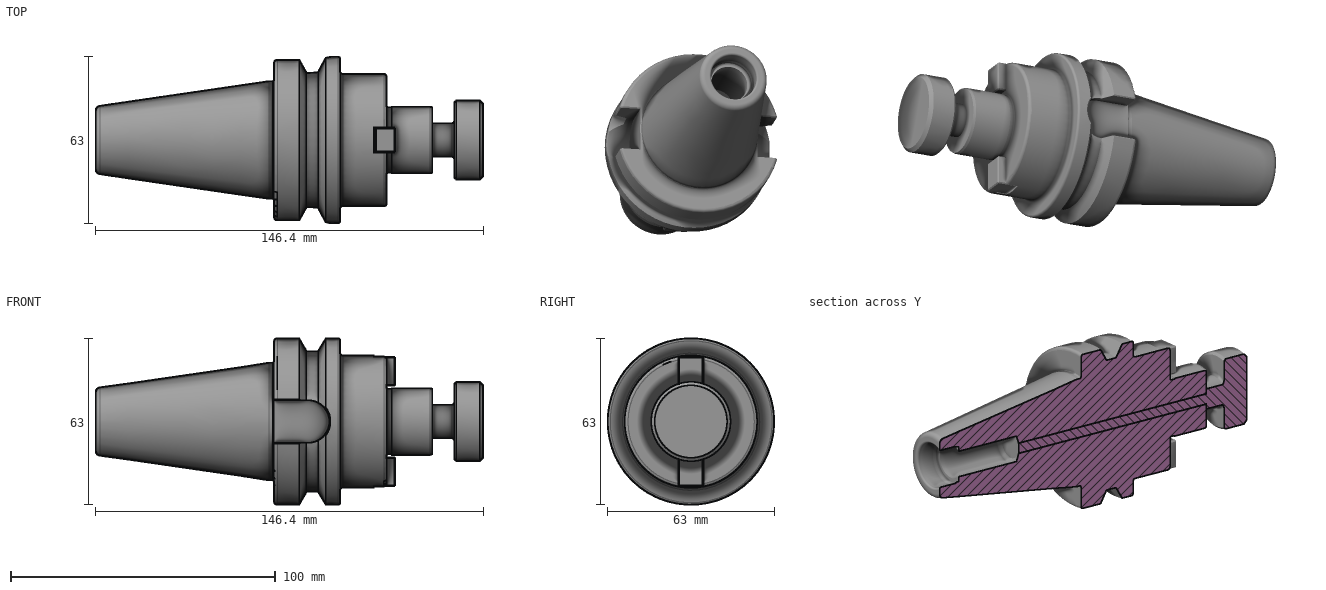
import cadquery as cq
import math


GAUGE_DIAMETER = 44.5
GAUGE_X = 65.5
TAPER_RATIO = 7 / 24
TAPER_END_ROUND = 1.9
SHANK_ROOT_ROUND = 0.5

FLANGE_DIAMETER = 63
FLANGE_START_X = 67.3
FLANGE_END_X = 92.4
FLANGE_START_ROUND = 1.2
FLANGE_END_ROUND = 0.9
GROOVE_DIAMETER = 53.3
GROOVE_START_X = 76.9
GROOVE_FLOOR_START_X = 79.6
GROOVE_FLOOR_END_X = 84.0
GROOVE_END_X = 87.0

KEYWAY_WIDTH = 16.1
KEYWAY_FLOOR = 22.5
KEYWAY_END_X = 88.3
KEYWAY_CHAMFER = 0.5

BARREL_DIAMETER = 50.0
BARREL_END_X = 110.0
BARREL_ROOT_ROUND = 0.9
BARREL_END_ROUND = 1.2
UNDERCUT_DIAMETER = 24.9
UNDERCUT_END_X = 111.8
UNDERCUT_ROUND = 0.5
SPIGOT_DIAMETER = 25.3
SPIGOT_END_X = 127.2
SPIGOT_CHAMFER_LENGTH = 1.0
SPIGOT_CHAMFER_DEPTH = 0.3

MOUTH_DIAMETER = 17.5
MOUTH_ROUND = 0.7
MOUTH_DEPTH = 7.3
MOUTH_TAPER_LENGTH = 1.2
COUNTERBORE_DIAMETER = 17.0
COUNTERBORE_DEPTH = 9.2
DRAWBAR_HOLE_DIAMETER = 13.9
DRAWBAR_HOLE_DEPTH = 36.6
BORE_CONE_HALF_ANGLE = 60
STUD_DIAMETER = 10.4

DOG_WIDTH = 9.5
DOG_SLOT_START_X = 105.1
DOG_START_X = 105.5
DOG_END_X = 113.2
DOG_INNER = 13.5
DOG_OUTER = 24.5
DOG_CHAMFER = 0.5

SCREW_NECK_DIAMETER = 12.7
HEAD_DIAMETER = 30.0
HEAD_START_X = 135.4
HEAD_END_X = 146.4
HEAD_START_CHAMFER = 0.9
HEAD_END_CHAMFER = 1.3
HEAD_ROOT_ROUND = 0.9

TOLERANCE = 0.01

BORE_CONE_DEPTH = (DRAWBAR_HOLE_DIAMETER - STUD_DIAMETER) / 2
BORE_CONE_LENGTH = BORE_CONE_DEPTH / math.tan(math.radians(BORE_CONE_HALF_ANGLE))
STUD_TIP_X = DRAWBAR_HOLE_DEPTH + BORE_CONE_LENGTH


def revolve_about_x(profile):
    """Turn a closed XY profile into a solid of revolution about the X axis."""
    return profile.close().revolve(360, (0, 0, 0), (1, 0, 0))


def shank():
    """Taper with its rounded small end and the short cylinder up to the flange."""
    gauge_radius = GAUGE_DIAMETER / 2
    small_radius = gauge_radius - GAUGE_X * TAPER_RATIO / 2
    profile = (
        cq.Workplane("XY")
        .lineTo(0, small_radius)
        .lineTo(GAUGE_X, gauge_radius)
        .lineTo(FLANGE_START_X, gauge_radius)
        .lineTo(FLANGE_START_X, 0)
    )
    return revolve_about_x(profile).faces("<X").edges().fillet(TAPER_END_ROUND)


def flange():
    """Flange with rounded rims and the trapezoidal gripper groove."""
    radius = FLANGE_DIAMETER / 2
    groove_radius = GROOVE_DIAMETER / 2
    profile = (
        cq.Workplane("XY")
        .moveTo(FLANGE_START_X, 0)
        .lineTo(FLANGE_START_X, radius)
        .lineTo(GROOVE_START_X, radius)
        .lineTo(GROOVE_FLOOR_START_X, groove_radius)
        .lineTo(GROOVE_FLOOR_END_X, groove_radius)
        .lineTo(GROOVE_END_X, radius)
        .lineTo(FLANGE_END_X, radius)
        .lineTo(FLANGE_END_X, 0)
    )
    body = revolve_about_x(profile)
    body = body.faces("<X").edges().fillet(FLANGE_START_ROUND)
    return body.faces(">X").edges().fillet(FLANGE_END_ROUND)


def root_round(x, radius, size, direction):
    """Concave ring where a cylinder meets a shoulder at x; direction is the way the cylinder runs."""
    profile = (
        cq.Workplane("XY")
        .moveTo(x, radius)
        .lineTo(x, radius + size)
        .radiusArc((x + direction * size, radius), direction * -size)
    )
    return revolve_about_x(profile)


def cylinder_along_x(start, end, diameter):
    return cq.Workplane("YZ", origin=(start, 0, 0)).circle(diameter / 2).extrude(end - start)


def barrel():
    """Barrel with a rounded end rim."""
    body = cylinder_along_x(FLANGE_END_X, BARREL_END_X, BARREL_DIAMETER)
    return body.faces(">X").edges().fillet(BARREL_END_ROUND)


def spigot():
    """Spigot with a shallow undercut at its root and a slim lead-in chamfer."""
    undercut_radius = UNDERCUT_DIAMETER / 2
    radius = SPIGOT_DIAMETER / 2
    profile = (
        cq.Workplane("XY")
        .moveTo(BARREL_END_X, 0)
        .lineTo(BARREL_END_X, undercut_radius)
        .lineTo(UNDERCUT_END_X, undercut_radius)
        .lineTo(UNDERCUT_END_X, radius)
        .lineTo(SPIGOT_END_X - SPIGOT_CHAMFER_LENGTH, radius)
        .lineTo(SPIGOT_END_X, radius - SPIGOT_CHAMFER_DEPTH)
        .lineTo(SPIGOT_END_X, 0)
    )
    return revolve_about_x(profile)


def bore():
    """Stepped hole along the whole axis: rounded mouth, drawbar hole, cone and screw hole."""
    mouth_radius = MOUTH_DIAMETER / 2
    counterbore_radius = COUNTERBORE_DIAMETER / 2
    hole_radius = DRAWBAR_HOLE_DIAMETER / 2
    stud_radius = STUD_DIAMETER / 2
    profile = (
        cq.Workplane("XY")
        .lineTo(0, mouth_radius + MOUTH_ROUND)
        .radiusArc((MOUTH_ROUND, mouth_radius), -MOUTH_ROUND)
        .lineTo(MOUTH_DEPTH, mouth_radius)
        .lineTo(MOUTH_DEPTH + MOUTH_TAPER_LENGTH, counterbore_radius)
        .lineTo(COUNTERBORE_DEPTH, counterbore_radius)
        .lineTo(COUNTERBORE_DEPTH, hole_radius)
        .lineTo(DRAWBAR_HOLE_DEPTH, hole_radius)
        .lineTo(STUD_TIP_X, stud_radius)
        .lineTo(SPIGOT_END_X, stud_radius)
        .lineTo(SPIGOT_END_X, 0)
    )
    return revolve_about_x(profile)


def keyway(side):
    """Cutter for the round-ended keyway on the side +Y (1) or -Y (-1)."""
    half_width = KEYWAY_WIDTH / 2
    arc_start_x = KEYWAY_END_X - half_width
    outline = (
        cq.Workplane("XZ", origin=(0, side * KEYWAY_FLOOR, 0))
        .moveTo(FLANGE_START_X, half_width)
        .lineTo(arc_start_x, half_width)
        .threePointArc((KEYWAY_END_X, 0), (arc_start_x, -half_width))
        .lineTo(FLANGE_START_X, -half_width)
        .close()
    )
    return outline.extrude(-side * FLANGE_DIAMETER / 2)


def is_keyway_rim(edge):
    """True for the keyway edges on the flange's starting face, its start rim and its two lands."""
    box = edge.BoundingBox()
    reach = max(box.ymax, -box.ymin)
    if max(box.zmax, -box.zmin) > KEYWAY_WIDTH / 2 + TOLERANCE:
        return False
    on_side_wall = box.zmax - box.zmin < TOLERANCE and abs(box.zmax) > KEYWAY_WIDTH / 2 - TOLERANCE
    before_groove = box.xmax < GROOVE_START_X + TOLERANCE and reach > KEYWAY_FLOOR + TOLERANCE
    on_far_land = box.xmin > GROOVE_END_X - TOLERANCE and box.xmax < KEYWAY_END_X + TOLERANCE
    above_floor = reach > GROOVE_DIAMETER / 2
    return (on_side_wall and before_groove) or (on_far_land and above_floor)


def slotted_flange():
    """Flange with both keyways, their outer edges chamfered."""
    body = flange()
    for side in (1, -1):
        body = body.cut(keyway(side))
    rim_edges = [edge for edge in body.edges().vals() if is_keyway_rim(edge)]
    return body.newObject(rim_edges).chamfer(KEYWAY_CHAMFER)


def dog_space(side, start_x, outer):
    """Block between a dog's inner side and outer, on the side +Z (1) or -Z (-1)."""
    length = DOG_END_X - start_x
    height = outer - DOG_INNER
    center = (start_x + length / 2, 0, side * (DOG_INNER + height / 2))
    return cq.Workplane("XY", origin=center).box(length, DOG_WIDTH, height)


def build_holder():
    gauge_radius = GAUGE_DIAMETER / 2
    body = shank().union(slotted_flange()).union(barrel()).union(spigot())
    body = body.union(root_round(FLANGE_START_X, gauge_radius, SHANK_ROOT_ROUND, -1))
    body = body.union(root_round(FLANGE_END_X, BARREL_DIAMETER / 2, BARREL_ROOT_ROUND, 1))
    body = body.union(root_round(BARREL_END_X, UNDERCUT_DIAMETER / 2, UNDERCUT_ROUND, 1))
    body = body.cut(bore())
    for side in (1, -1):
        body = body.cut(dog_space(side, DOG_SLOT_START_X, BARREL_DIAMETER / 2))
    return body


def build_dog(side):
    return dog_space(side, DOG_START_X, DOG_OUTER).edges().chamfer(DOG_CHAMFER)


def build_screw():
    stud = cylinder_along_x(STUD_TIP_X, SPIGOT_END_X, STUD_DIAMETER)
    neck = cylinder_along_x(SPIGOT_END_X, HEAD_START_X, SCREW_NECK_DIAMETER)
    head = cylinder_along_x(HEAD_START_X, HEAD_END_X, HEAD_DIAMETER)
    head = head.faces("<X").edges().chamfer(HEAD_START_CHAMFER)
    head = head.faces(">X").edges().chamfer(HEAD_END_CHAMFER)
    neck_round = root_round(HEAD_START_X, SCREW_NECK_DIAMETER / 2, HEAD_ROOT_ROUND, -1)
    return stud.union(neck).union(head).union(neck_round)


holder = build_holder()
dogs = [build_dog(side) for side in (1, -1)]
screw = build_screw()

result = cq.Compound.makeCompound([holder.val(), *[dog.val() for dog in dogs], screw.val()])